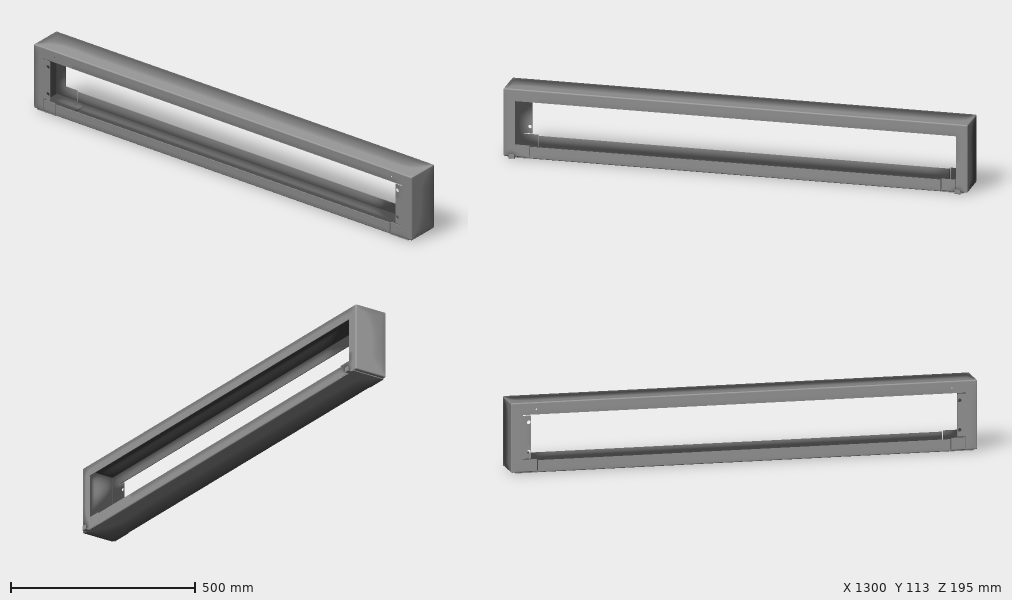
import cadquery as cq

length = 1300.0
depth = 100.0
height = 195.0

sheet = 2.0
bend_radius = 3.4
inner_radius = bend_radius - sheet

flange_height = 34.0
side_flange = 56.0
corner_width = 32.0
slit_height = 3.0
slit_width = 0.6

frame_bottom = sheet
bracket_height = 35.0
bracket_end = 73.0
tab_end = 104.0
tab_chamfer = 15.0
tab_hole_x = 83.0
tab_hole_pitch = 30.0
tab_hole_count = 3
pilot_diameter = 4.0

top_hole_x = 70.0
top_hole_drop = 20.0
side_hole_x = 50.0
side_hole_diameter = 10.0
side_hole_heights = (58.0, 140.0)

rail_flange_start = 75.0
rail_floor_start = 12.0
hook_start = 18.0
hook_width = 15.0
hook_reach = 13.0
hook_height = 13.0


def block(x0, x1, y0, y1, z0, z1):
    """Box between two opposite corners."""
    return cq.Workplane("XY").box(x1 - x0, y1 - y0, z1 - z0, centered=False).translate((x0, y0, z0))


def both_ends(shape):
    """The left-end shape together with its mirror image at the right end."""
    return shape.union(shape.mirror("YZ", (length / 2, 0, 0)))


def front_hole(x, z, diameter):
    """Cylinder along Y through the front flange wall."""
    return cq.Workplane("XZ").center(x, z).circle(diameter / 2).extrude(-sheet)


def closed_shell():
    """Hollow sheet box with rounded bends, before its openings are cut."""
    outer = block(0, length, 0, depth, frame_bottom, height).edges().fillet(bend_radius)
    inner = block(
        sheet, length - sheet, sheet, depth - sheet, frame_bottom + sheet, height - sheet
    ).edges().fillet(inner_radius)
    return outer.cut(inner)


def frame_opening():
    """Window through both flanges, the gap between the brackets and the missing middle of the floor."""
    window_bottom = frame_bottom + bracket_height
    window_top = height - flange_height
    front_window = block(side_flange, length - side_flange, 0, sheet, window_bottom, window_top)
    rear_window = block(corner_width, length - corner_width, sheet, depth, window_bottom, window_top)
    window = front_window.union(rear_window)
    bracket_gap = block(bracket_end, length - bracket_end, 0, depth, frame_bottom + bend_radius, window_bottom)
    tab_outline = (
        cq.Workplane("XY", origin=(0, 0, frame_bottom))
        .rect(2 * tab_end, depth - 2 * bend_radius)
        .extrude(bend_radius)
        .translate((0, depth / 2, 0))
        .edges("|Z")
        .chamfer(tab_chamfer)
    )
    floor_gap = block(bracket_end, length - bracket_end, 0, depth, frame_bottom, frame_bottom + bend_radius)
    return window.union(bracket_gap).union(floor_gap.cut(both_ends(tab_outline)))


def relief_slits():
    """Slits that part the upright flanges from the top flange and from the brackets."""
    top_slit_top = height - flange_height
    bracket_top = frame_bottom + bracket_height
    top_slit = block(corner_width, side_flange, 0, sheet, top_slit_top - slit_height, top_slit_top)
    bracket_slit = block(corner_width, side_flange, 0, sheet, bracket_top, bracket_top + slit_height)
    upright_slit = block(
        corner_width, corner_width + slit_width, 0, depth, frame_bottom + bend_radius, bracket_top
    )
    return both_ends(top_slit.union(bracket_slit).union(upright_slit))


def flange_holes():
    """Round holes through the front upright flanges and the front top flange."""
    holes = front_hole(top_hole_x, height - top_hole_drop, pilot_diameter)
    for z in side_hole_heights:
        holes = holes.union(front_hole(side_hole_x, z, side_hole_diameter))
    return both_ends(holes)


def tab_holes():
    """Row of pilot holes across each floor tab."""
    holes = (
        cq.Workplane("XY", origin=(tab_hole_x, depth / 2, frame_bottom))
        .rarray(13, tab_hole_pitch, 1, tab_hole_count)
        .circle(pilot_diameter / 2)
        .extrude(sheet)
    )
    return both_ends(holes)


def make_frame():
    """Folded frame: two ends, the top run and a floor tab at each end."""
    return closed_shell().cut(frame_opening()).cut(relief_slits()).cut(flange_holes()).cut(tab_holes())


def make_hook():
    """Tab that leaves the rail's floor at the rear and turns up."""
    hook_end = depth + hook_reach
    hook_right = hook_start + hook_width
    outer = block(hook_start, hook_right, depth - bend_radius, hook_end, 0, hook_height)
    outer = outer.edges("|X and >Y and <Z").fillet(bend_radius)
    inner = block(hook_start, hook_right, depth - bend_radius, hook_end - sheet, sheet, hook_height)
    inner = inner.edges("|X and >Y and <Z").fillet(inner_radius)
    return outer.cut(inner)


def make_rail():
    """Bottom channel whose floor runs on under the frame's tabs and carries the hooks."""
    flange_end = length - rail_flange_start
    outer = block(rail_flange_start, flange_end, 0, depth, 0, flange_height)
    outer = outer.edges("|X and <Z").fillet(bend_radius)
    inner = block(rail_flange_start, flange_end, sheet, depth - sheet, sheet, flange_height)
    inner = inner.edges("|X and <Z").fillet(inner_radius)
    floor_end = block(rail_floor_start, rail_flange_start, 0, depth, 0, sheet)
    return outer.cut(inner).union(both_ends(floor_end.union(make_hook())))


frame = make_frame()
rail = make_rail()
result = cq.Compound.makeCompound([frame.val(), rail.val()])